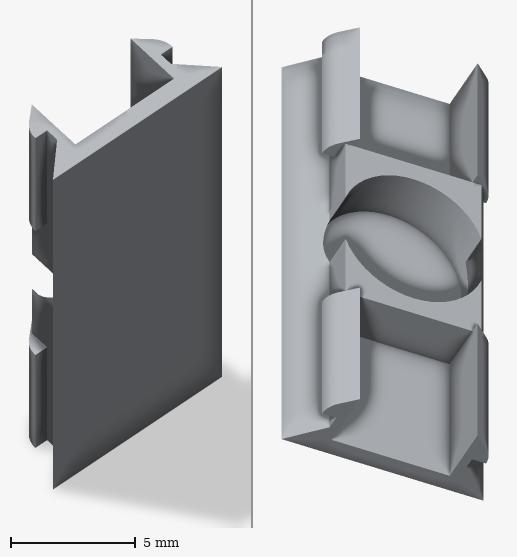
import cadquery as cq
import math

length = 20.0
depth = 3.5
back_width = 8.92
back_x = depth / 2
front_x = -depth / 2

neck_width = 6.0
lip_width = 7.25
lip_back_height = 2.08
lip_round_radius = 1.1
pocket_width = 5.2
floor_thickness = 0.8

block_length = 8.0
block_height = 3.0
seat_diameter = 6.4
seat_floor = 0.6

base_height = (back_width - neck_width) / 2


def lip_side(side):
    """Lip section on one side: a sloped ramp running into an eighth-circle round that ends at the shoulder."""
    shoulder_x = back_x - lip_back_height
    half_lip = lip_width / 2
    half_pocket = pocket_width / 2
    half_neck = neck_width / 2
    center_y = half_lip - lip_round_radius

    def on_round(angle):
        x = shoulder_x - lip_round_radius * math.sin(angle)
        return (x, side * (center_y + lip_round_radius * math.cos(angle)))

    return (
        cq.Workplane("XY")
        .workplane(offset=-length / 2)
        .moveTo(front_x, side * half_pocket)
        .lineTo(*on_round(math.pi / 4))
        .threePointArc(on_round(math.pi / 8), on_round(0))
        .lineTo(shoulder_x, side * half_neck)
        .lineTo(back_x - floor_thickness, side * half_neck)
        .lineTo(back_x - floor_thickness, side * half_pocket)
        .close()
        .extrude(length)
    )


def dovetail_base():
    """Full-length base, tapering to the neck, with the pocket channel cut into it."""
    base = (
        cq.Workplane("XY")
        .workplane(offset=-length / 2)
        .polyline([
            (back_x, -back_width / 2),
            (back_x, back_width / 2),
            (back_x - base_height, neck_width / 2),
            (back_x - base_height, -neck_width / 2),
        ])
        .close()
        .extrude(length)
    )
    channel = cq.Workplane("XY").box(depth, pocket_width, length)
    return base.cut(channel.translate((-floor_thickness, 0, 0)))


def central_block():
    """Block filling the central stretch, from the pocket floor forward."""
    size_x = block_height - floor_thickness
    box = cq.Workplane("XY").box(size_x, neck_width, block_length)
    return box.translate((back_x - floor_thickness - size_x / 2, 0, 0))


def lip_gap():
    """Space that removes both lips over the central stretch, leaving the dovetail flanks."""
    size_x = depth - base_height
    box = cq.Workplane("XY").box(size_x, back_width, block_length)
    return box.translate((front_x + size_x / 2, 0, 0))


def seat():
    """Flat-bottomed round seat, opening to the front and slightly deeper than the pocket floor."""
    return (
        cq.Workplane("YZ")
        .workplane(offset=front_x)
        .circle(seat_diameter / 2)
        .extrude(depth - seat_floor)
    )


lips = lip_side(1).union(lip_side(-1))
body = dovetail_base().union(lips).cut(lip_gap())
result = body.union(central_block()).cut(seat())